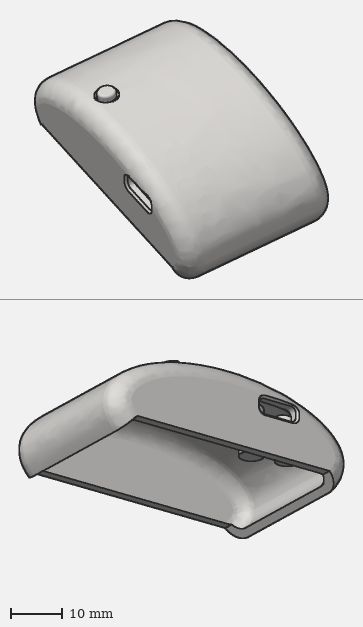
import cadquery as cq
import math

half_length = 28.6
dome_height = 13.5
width = 34.8
end_round = 4.0
wall = 2.0
cavity_round = 3.0

end_wall_bottom = -3.15
rim_start = 23.15
trim_reach = 17.15

slot_x = 11.0
slot_z = 6.9
slot_length = 9.85
slot_height = 4.3
slot_corner = 1.65
slot_chamfer = 0.5
mouth_taper = 45.0

post_diameter = 5.0
post_bottom = 0.25
post_centres = [(11.1, -8.0), (18.3, -10.05)]

button_x = -10.3
button_y = -10.7
button_diameter = 3.9
button_rise = 1.1
button_depth = 1.25
button_edge_round = 0.5
button_hole_x = -10.35
button_hole_diameter = 4.9
hinge_recess = 0.3


def rounded_dome(inset, edge_round):
    """Elliptical cylinder along Y, inset all round, with rounded end edges."""
    length = width - 2 * inset
    return (
        cq.Workplane("XZ", origin=(0, length / 2, 0))
        .ellipse(half_length - inset, dome_height - inset)
        .extrude(length)
        .edges()
        .fillet(edge_round)
    )


def underside_trim():
    """Wedge that opens the underside and bevels the side rims."""
    low = end_wall_bottom - trim_reach
    wide = rim_start + trim_reach
    corners = [
        (-rim_start, end_wall_bottom),
        (rim_start, end_wall_bottom),
        (wide, low),
        (-wide, low),
    ]
    return cq.Workplane("XZ").polyline(corners).close().extrude(width, both=True)


def slot_profile(y, grow):
    """Rounded rectangle on the plane at y, enlarged by grow per side."""
    sketch = (
        cq.Sketch()
        .rect(slot_length + 2 * grow, slot_height + 2 * grow)
        .vertices()
        .fillet(slot_corner + grow)
    )
    return cq.Workplane("XZ", origin=(slot_x, y, slot_z)).placeSketch(sketch)


def connector_opening():
    """Slot through the end wall with a chamfered mouth."""
    outside = -width / 2
    throat = slot_profile(outside + end_round, -slot_chamfer).extrude(end_round)
    mouth = slot_profile(outside, 0).extrude(-slot_chamfer, taper=mouth_taper)
    return throat.union(mouth)


def button():
    """Round button with a rounded rim, whose axis is normal to the dome."""
    surface_z = dome_height * math.sqrt(1 - (button_x / half_length) ** 2)
    normal = (button_x / half_length**2, 0, surface_z / dome_height**2)
    plane = cq.Plane(origin=(button_x, button_y, surface_z), xDir=(0, 1, 0), normal=normal)
    return (
        cq.Workplane(plane)
        .workplane(offset=-button_depth)
        .circle(button_diameter / 2)
        .extrude(button_depth + button_rise)
        .faces(cq.selectors.DirectionMinMaxSelector(cq.Vector(*normal), True))
        .edges()
        .fillet(button_edge_round)
    )


cavity = rounded_dome(wall, cavity_round)
shell = rounded_dome(0, end_round).cut(cavity)

button_hole = (
    cq.Workplane("XY")
    .center(button_hole_x, button_y)
    .circle(button_hole_diameter / 2)
    .extrude(dome_height)
)
hinge = (
    cq.Workplane("XY")
    .center(button_hole_x, button_y)
    .rect(button_hole_diameter, button_hole_diameter, centered=False)
    .extrude(dome_height)
    .intersect(rounded_dome(hinge_recess, end_round))
)
posts = (
    cq.Workplane("XY", origin=(0, 0, post_bottom))
    .pushPoints(post_centres)
    .circle(post_diameter / 2)
    .extrude(dome_height)
    .intersect(rounded_dome(0, end_round))
)

result = (
    shell.cut(button_hole.cut(hinge))
    .union(button())
    .cut(connector_opening())
    .union(posts)
    .cut(underside_trim())
)